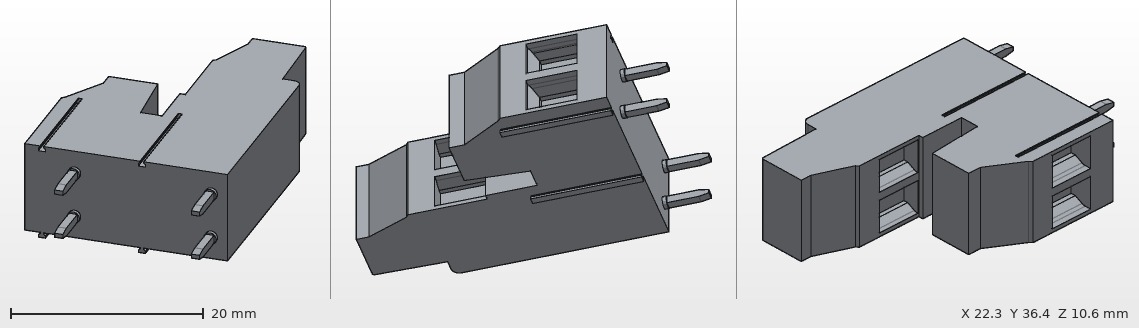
import cadquery as cq
import math


body_width = 22.3
overall_length = 36.4
pin_length = 5.0
body_length = overall_length - pin_length
pole_count = 2
pole_pitch = 5.0
body_thickness = pole_count * pole_pitch
pole_centres = [(i + 0.5) * pole_pitch for i in range(pole_count)]

lower_ledge_start = 11.55
lower_slope = [(0.33, 11.85), (2.95, 16.3)]
lower_top = 17.98
lower_top_right = 8.37

gap_floor = 10.95
gap_left = 8.9
gap_right = 11.3

upper_face = 11.85
upper_step = 16.55
upper_ledge_start = 25.15
upper_slope = [(12.2, 25.4), (14.05, 30.03)]
upper_top_right = 20.0
corner_chamfer = 0.15
shoulder_start = 20.2
shoulder_height = 23.37
shoulder_radius = 0.9

entry_height = 5.55
entry_half_width = 2.0
throat_half_width = 1.4
entry_top_taper = 0.8
taper_slope = 0.5
lip_radius = 1.1
lower_entry_bottom = 3.25
lower_entry_straight = 1.05
lower_entry_depth = 2.9
upper_entry_bottom = 16.7
upper_entry_straight = 0.3
upper_entry_depth = 2.07

rib_positions = [1.9, 12.9]
rib_length = 12.05
rib_height = 0.6
rib_neck_height = 0.15
rib_head_start = 0.33
rib_neck_width = 0.4
rib_head_width = 0.75

pin_positions = [5.5, 20.53]
pin_width = 0.9
pin_tip_thickness = 0.47
pin_taper_length = 1.1
collar_diameter = 1.35
collar_length = 0.45


def housing():
    """Stepped side outline extruded through both poles."""
    outline = (
        cq.Workplane("XY")
        .moveTo(0, 0)
        .lineTo(0, lower_ledge_start)
        .lineTo(*lower_slope[0])
        .lineTo(*lower_slope[1])
        .lineTo(lower_slope[1][0], lower_top)
        .lineTo(lower_top_right, lower_top)
        .lineTo(gap_left, gap_floor)
        .lineTo(gap_right, gap_floor)
        .lineTo(gap_right, upper_step)
        .lineTo(upper_face, upper_step)
        .lineTo(upper_face, upper_ledge_start)
        .lineTo(*upper_slope[0])
        .lineTo(*upper_slope[1])
        .lineTo(upper_slope[1][0], body_length)
        .lineTo(upper_top_right - corner_chamfer, body_length)
        .lineTo(upper_top_right, body_length - corner_chamfer)
        .lineTo(shoulder_start, shoulder_height)
        .lineTo(body_width - shoulder_radius, shoulder_height)
        .radiusArc((body_width, shoulder_height - shoulder_radius), shoulder_radius)
        .lineTo(body_width, 0)
        .close()
    )
    return outline.extrude(body_thickness)


def wire_entry(face_x, bottom_y, centre_z, straight, depth, top_taper):
    """Funnel narrowing towards a straight throat; its Z walls bend in through a rounded lip."""
    top_y = bottom_y + entry_height
    back_x = face_x + depth

    angle = math.atan(taper_slope)
    lip_tangent = lip_radius * math.tan(angle / 2)
    bend_x = face_x + straight
    throat_x = bend_x + (entry_half_width - throat_half_width) / taper_slope
    arc_start_x = bend_x - lip_tangent
    arc_end_x = bend_x + lip_tangent * math.cos(angle)
    arc_mid_x = arc_start_x + lip_radius * math.sin(angle / 2)
    arc_end_drop = lip_tangent * math.sin(angle)
    arc_mid_drop = lip_radius * (1 - math.cos(angle / 2))
    half_section = (
        cq.Workplane("XZ", origin=(0, top_y, centre_z))
        .moveTo(face_x, 0)
        .lineTo(face_x, entry_half_width)
        .lineTo(arc_start_x, entry_half_width)
        .threePointArc(
            (arc_mid_x, entry_half_width - arc_mid_drop),
            (arc_end_x, entry_half_width - arc_end_drop),
        )
        .lineTo(throat_x, throat_half_width)
        .lineTo(back_x, throat_half_width)
        .lineTo(back_x, 0)
        .close()
        .extrude(entry_height)
    )
    funnel = half_section.union(half_section.mirror("XY", (0, 0, centre_z)))
    if top_taper == 0:
        return funnel

    wedge = (
        cq.Workplane("XY", origin=(0, 0, centre_z))
        .moveTo(throat_x - top_taper / taper_slope, top_y)
        .lineTo(throat_x, top_y - top_taper)
        .lineTo(back_x, top_y - top_taper)
        .lineTo(back_x, top_y)
        .close()
        .extrude(entry_half_width, both=True)
    )
    return funnel.cut(wedge)


def rib(centre_x, root_z):
    """Mushroom-section rail along Y, hanging down from root_z."""
    neck = rib_neck_width / 2
    head = rib_head_width / 2
    half_outline = [
        (neck, 0),
        (neck, -rib_neck_height),
        (head, -rib_head_start),
        (head, -rib_height),
    ]
    mirrored = [(-x, z) for x, z in reversed(half_outline)]
    return (
        cq.Workplane("XZ", origin=(centre_x, 0, root_z))
        .polyline(half_outline + mirrored)
        .close()
        .extrude(-rib_length)
    )


def pin(centre_x, centre_z):
    """Round collar and square pin whose end tapers in Z."""
    half = pin_width / 2
    tip = pin_tip_thickness / 2
    blade = (
        cq.Workplane("YZ", origin=(centre_x, 0, centre_z))
        .polyline([
            (0, half),
            (pin_taper_length - pin_length, half),
            (-pin_length, tip),
            (-pin_length, -tip),
            (pin_taper_length - pin_length, -half),
            (0, -half),
        ])
        .close()
        .extrude(half, both=True)
    )
    collar = (
        cq.Workplane("XZ", origin=(centre_x, 0, centre_z))
        .circle(collar_diameter / 2)
        .extrude(collar_length)
    )
    return blade.union(collar)


result = housing()

for z in pole_centres:
    result = result.cut(wire_entry(
        0, lower_entry_bottom, z, lower_entry_straight, lower_entry_depth, entry_top_taper))
    result = result.cut(wire_entry(
        upper_face, upper_entry_bottom, z, upper_entry_straight, upper_entry_depth, 0))

for x in rib_positions:
    result = result.cut(rib(x, body_thickness))
    result = result.union(rib(x, 0))

for x in pin_positions:
    for z in pole_centres:
        result = result.union(pin(x, z))